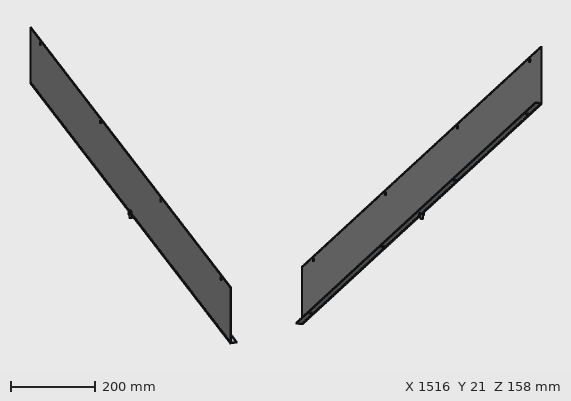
import cadquery as cq

length = 1516.0
outer_height = 158.0
sheet = 2.0
outer_depth = 21.0

hole_count = 4
hole_pitch = 456.0
sheet_hole_diameter = 6.7
sheet_hole_drop = 9.0
flange_hole_diameter = 6.4
flange_hole_y = 8.0

collar_diameter = 12.9
upper_collar_height = 5.0
lower_collar_height = 1.0
pin_diameter = 6.7
pin_drop = 11.4

panel_height = outer_height - pin_drop
flange_top = sheet
flange_depth = outer_depth - collar_diameter / 2
collar_top = flange_top + upper_collar_height
hole_xs = [(i - (hole_count - 1) / 2) * hole_pitch for i in range(hole_count)]


def cylinder(diameter, bottom, top):
    """Vertical cylinder on the fastener axis."""
    return cq.Workplane("XY").workplane(offset=bottom).circle(diameter / 2).extrude(top - bottom)


def make_panel():
    upright = cq.Workplane("XY").box(length, sheet, panel_height, centered=(True, True, False))
    flange = cq.Workplane("XY").box(length, flange_depth, sheet, centered=(True, False, False))
    panel = upright.union(flange)

    sheet_holes = (
        cq.Workplane("XZ")
        .pushPoints([(x, panel_height - sheet_hole_drop) for x in hole_xs])
        .circle(sheet_hole_diameter / 2)
        .extrude(sheet, both=True)
    )
    flange_holes = (
        cq.Workplane("XY")
        .pushPoints([(x, flange_hole_y) for x in hole_xs])
        .circle(flange_hole_diameter / 2)
        .extrude(sheet)
    )
    collar_recess = cylinder(collar_diameter, flange_top, collar_top)
    pin_hole = cylinder(pin_diameter, 0, flange_top)
    return panel.cut(sheet_holes).cut(flange_holes).cut(collar_recess).cut(pin_hole)


def make_collar(bottom, height):
    top = bottom + height
    return cylinder(collar_diameter, bottom, top).cut(cylinder(pin_diameter, bottom, top))


def make_pin():
    return cylinder(pin_diameter, -pin_drop, collar_top)


panel = make_panel()
upper_collar = make_collar(flange_top, upper_collar_height)
lower_collar = make_collar(-lower_collar_height, lower_collar_height)
pin = make_pin()

result = cq.Compound.makeCompound([panel.val(), upper_collar.val(), lower_collar.val(), pin.val()])